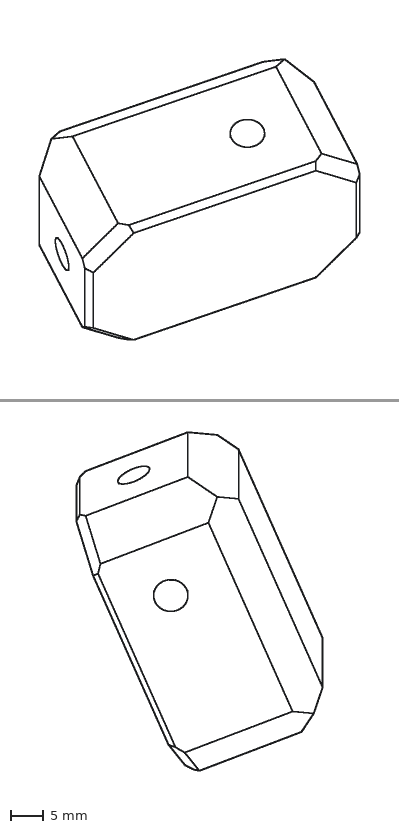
import cadquery as cq

length_x = 25.0
length_y = 46.0
length_z = 30.0

corner_chamfer = 6.0
ridge_chamfer = 5.0
rim_chamfer = 1.0
corner_rim_chamfer = 2.0

hole_diameter = 5.3
hole_inset = 15.0

hole_x = -length_x / 2 + hole_inset
vertical_hole_y = length_y / 2 - hole_inset


def block():
    return cq.Workplane("XY").box(length_x, length_y, length_z)


def octagonal_core():
    """Block with bevelled long X edges and a deeper rim bevel on its diagonal sides."""
    core = block().edges("|X").chamfer(corner_chamfer)
    diagonals = core.faces(">X").edges("not(|Y or |Z)")
    return diagonals.chamfer(corner_rim_chamfer)


def side_bevelled_block(edge_direction, back_chamfer):
    """Block bevelled along the -X and +X edges parallel to one axis."""
    back_bevelled = block().faces("<X").edges(edge_direction).chamfer(back_chamfer)
    return back_bevelled.faces(">X").edges(edge_direction).chamfer(rim_chamfer)


def hole_along_y():
    hole = cq.Workplane("XZ").center(hole_x, 0).circle(hole_diameter / 2)
    return hole.extrude(length_y, both=True)


def hole_along_z():
    hole = cq.Workplane("XY").center(hole_x, vertical_hole_y).circle(hole_diameter / 2)
    return hole.extrude(length_z, both=True)


body = octagonal_core()
body = body.intersect(side_bevelled_block("|Y", ridge_chamfer))
body = body.intersect(side_bevelled_block("|Z", corner_chamfer))
result = body.cut(hole_along_y()).cut(hole_along_z())